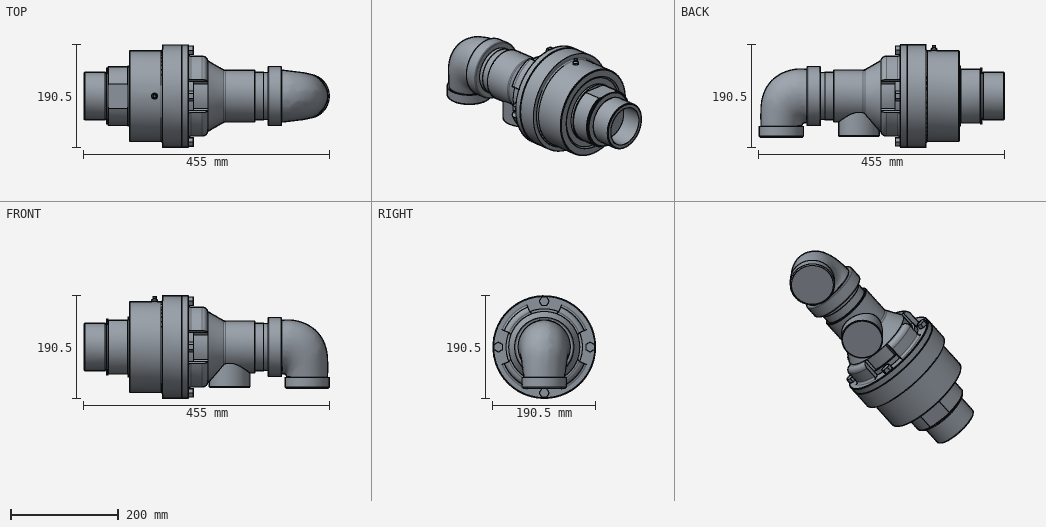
import cadquery as cq
import math

EDGE = 1.5

NIPPLE_DIA = 88.7
NIPPLE_END_CHAMFER = 3.0
BORE_DIA = 73.0
BORE_DEPTH = 40.5
NUT_START = 42.0
NUT_LIP_DIA = 104.0
NUT_DIA = 110.0
NUT_CHAMFER = 1.5
NUT_FLAT_START = 44.0
NUT_FLAT_END = 81.5
NUT_ACROSS_FLATS = 100.0
NUT_COLLAR_DIA = 111.0

HOUSING_START = 83.5
HOUSING_DIA = 169.0
HOUSING_FILLET = 2.7
RECESS_DIA = 141.0
RECESS_FLOOR_DIA = 134.5
RECESS_DEPTH = 2.5
FLANGE_START = 145.5
FLANGE_DIA = 190.5
FLANGE_JOINT = 180.5
JOINT_GROOVE = 1.0
FLANGE_END = 194.0

HUB_DIA = 160.5
HUB_END = 229.5
HUB_ROUND = 10.5
HUB_ROOT_FILLET = 4.0
POCKET_TOP_WIDTH = 70.0
POCKET_TOP = 84.5
POCKET_BEVEL_WIDTH = 53.5
POCKET_BEVEL_HEIGHT = 65.5
POCKET_FLOOR_WIDTH = 45.5
POCKET_LEDGE_DIA = 142.0
POCKET_LEDGE_END = 203.0
POCKET_FLOOR_DIA = 132.0
BOLT_COUNT = 4
BOLT_CIRCLE_RADIUS = 85.0
BOLT_ACROSS_FLATS = 16.0
BOLT_HEAD_END = 202.5

TAPER_END = 258.5
TAPER_END_DIA = 98.5
NECK_START = 262.5
NECK_DIA = 97.0
NECK_END = 317.0
TUBE_DIA = 88.7
TUBE_END = 333.0
TUBE_TIP_DIA = 88.0
OUTLET_X = 270.0
OUTLET_DIA = 76.0
OUTLET_BOTTOM = -74.5

COLLAR_START = 341.3
COLLAR_END = 366.5
COLLAR_DIA = 110.0
COLLAR_ROUND = 2.0
ELBOW_INLET_WIDTH = 97.0
ELBOW_INLET_HEIGHT = 99.5
ELBOW_OUTLET_DIA = 76.0
ELBOW_CORNER_X = 367.5
ELBOW_CORNER_Z = -55.0
ELBOW_BACK_RADIUS = 70.5
ELBOW_SECTIONS = 4
END_RING_DIA = 82.5
END_RING_CHAMFER = 2.5
END_RING_TOP = -56.5
END_RING_BOTTOM = -76.5
END_RING_X = 455 - END_RING_DIA / 2

GREASE_X = 130.5
GREASE_BASE_DIA = 11.0
GREASE_BASE_TOP = 87.0
GREASE_NECK_DIA = 4.5
GREASE_NECK_TOP = 90.5
GREASE_HEAD_DIA = 6.5
GREASE_TOP = 93.7


def rod(start, end, dia):
    """Cylinder on the X axis."""
    return cq.Workplane("YZ", origin=(start, 0, 0)).circle(dia / 2).extrude(end - start)


def post(x, bottom, top, dia):
    """Vertical cylinder."""
    return cq.Workplane("XY", origin=(x, 0, bottom)).circle(dia / 2).extrude(top - bottom)


def root_fillet(face_x, side, dia, radius):
    """Concave fillet where a cylinder meets a face; side is the way (+1 or -1) it runs from the face."""
    slack = 2 * radius
    root = dia / 2
    mid = radius * (1 - math.sqrt(0.5))
    return (
        cq.Workplane("XZ")
        .moveTo(face_x, root + radius)
        .threePointArc((face_x + side * mid, root + mid), (face_x + side * radius, root))
        .lineTo(face_x + side * radius, root - slack)
        .lineTo(face_x, root - slack)
        .close()
        .revolve(360, (0, 0, 0), (1, 0, 0))
    )


def nipple():
    barrel = rod(0, NUT_START, NIPPLE_DIA)
    return barrel.faces("<X").chamfer(EDGE).faces(">X").chamfer(NIPPLE_END_CHAMFER)


def nut():
    body = rod(NUT_FLAT_START, NUT_FLAT_END, NUT_DIA).faces("<X or >X").chamfer(NUT_CHAMFER)
    flats = cq.Workplane("XY").box(2 * NUT_FLAT_END, NUT_DIA, NUT_ACROSS_FLATS)
    lip = rod(NUT_START, NUT_FLAT_START, NUT_LIP_DIA)
    collar = rod(NUT_FLAT_END, HOUSING_START + RECESS_DEPTH, NUT_COLLAR_DIA)
    return body.intersect(flats).union(lip).union(collar)


def housing():
    barrel = rod(HOUSING_START, FLANGE_START, HOUSING_DIA).faces("<X").chamfer(EDGE)
    recess = (
        cq.Workplane("YZ", origin=(HOUSING_START, 0, 0))
        .circle(RECESS_DIA / 2)
        .workplane(offset=RECESS_DEPTH)
        .circle(RECESS_FLOOR_DIA / 2)
        .loft(ruled=True)
    )
    return barrel.cut(recess).union(root_fillet(FLANGE_START, -1, HOUSING_DIA, HOUSING_FILLET))


def flanges():
    pair = rod(FLANGE_START, FLANGE_END, FLANGE_DIA).faces(">X").chamfer(EDGE)
    groove = rod(FLANGE_JOINT - JOINT_GROOVE / 2, FLANGE_JOINT + JOINT_GROOVE / 2, FLANGE_DIA)
    groove = groove.cut(rod(FLANGE_START, FLANGE_END, FLANGE_DIA - 2 * JOINT_GROOVE))
    return pair.cut(groove)


def around_axis(shape):
    """Copies of a shape at every bolt position."""
    copies = shape
    for i in range(1, BOLT_COUNT):
        copies = copies.union(shape.rotate((0, 0, 0), (1, 0, 0), i * 360 / BOLT_COUNT))
    return copies


def hub():
    body = rod(FLANGE_END, HUB_END, HUB_DIA).faces(">X").edges().fillet(HUB_ROUND)
    body = body.union(root_fillet(FLANGE_END, 1, HUB_DIA, HUB_ROOT_FILLET))
    wall_foot = math.sqrt(POCKET_FLOOR_DIA**2 - POCKET_FLOOR_WIDTH**2) / 2
    pocket = (
        cq.Workplane("YZ", origin=(FLANGE_END, 0, 0))
        .moveTo(-POCKET_FLOOR_WIDTH / 2, wall_foot)
        .lineTo(POCKET_FLOOR_WIDTH / 2, wall_foot)
        .lineTo(POCKET_BEVEL_WIDTH / 2, POCKET_BEVEL_HEIGHT)
        .lineTo(POCKET_TOP_WIDTH / 2, POCKET_TOP)
        .lineTo(-POCKET_TOP_WIDTH / 2, POCKET_TOP)
        .lineTo(-POCKET_BEVEL_WIDTH / 2, POCKET_BEVEL_HEIGHT)
        .close()
        .extrude(HUB_END - FLANGE_END)
    )
    core = rod(FLANGE_END, HUB_END, POCKET_FLOOR_DIA)
    ledge = rod(FLANGE_END, POCKET_LEDGE_END, POCKET_LEDGE_DIA)
    return body.cut(around_axis(pocket)).union(core).union(ledge)


def bolts():
    head = (
        cq.Workplane("YZ", origin=(FLANGE_END, 0, BOLT_CIRCLE_RADIUS))
        .polygon(6, BOLT_ACROSS_FLATS, circumscribed=True)
        .extrude(BOLT_HEAD_END - FLANGE_END)
        .rotate((0, 0, BOLT_CIRCLE_RADIUS), (1, 0, BOLT_CIRCLE_RADIUS), 30)
    )
    return around_axis(head)


def neck():
    taper = (
        cq.Workplane("XZ")
        .moveTo(HUB_END, 0)
        .lineTo(HUB_END, POCKET_FLOOR_DIA / 2)
        .lineTo(TAPER_END, TAPER_END_DIA / 2)
        .tangentArcPoint((NECK_START, NECK_DIA / 2), relative=False)
        .lineTo(NECK_START, 0)
        .close()
        .revolve(360, (0, 0, 0), (1, 0, 0))
    )
    barrel = rod(NECK_START, NECK_END, NECK_DIA).faces(">X").chamfer(EDGE)
    tube = rod(NECK_END, TUBE_END, TUBE_DIA)
    tip = rod(TUBE_END, COLLAR_START, TUBE_TIP_DIA)
    outlet = post(OUTLET_X, OUTLET_BOTTOM, 0, OUTLET_DIA).faces("<Z").chamfer(EDGE)
    return taper.union(barrel).union(tube).union(tip).union(outlet)


def elbow_bend():
    """Tapering bend through oval sections that fan out about the inner corner."""
    back_x = END_RING_X + ELBOW_OUTLET_DIA / 2 - ELBOW_BACK_RADIUS - ELBOW_CORNER_X
    back_z = ELBOW_INLET_HEIGHT / 2 - ELBOW_BACK_RADIUS - ELBOW_CORNER_Z
    inlet_centre = -ELBOW_CORNER_Z
    outlet_centre = END_RING_X - ELBOW_CORNER_X
    inlet_gap = inlet_centre - ELBOW_INLET_HEIGHT / 2
    outlet_gap = outlet_centre - ELBOW_OUTLET_DIA / 2
    wires = []
    for i in range(ELBOW_SECTIONS + 1):
        part = i / ELBOW_SECTIONS
        angle = part * math.pi / 2
        along = back_x * math.sin(angle) + back_z * math.cos(angle)
        across = back_x * math.cos(angle) - back_z * math.sin(angle)
        near = inlet_gap + part * (outlet_gap - inlet_gap)
        far = along + math.sqrt(ELBOW_BACK_RADIUS**2 - across**2)
        if i == 0:
            far = inlet_centre + ELBOW_INLET_HEIGHT / 2
        if i == ELBOW_SECTIONS:
            far = outlet_centre + ELBOW_OUTLET_DIA / 2
        middle = (near + far) / 2
        half_width = (ELBOW_INLET_WIDTH + part * (ELBOW_OUTLET_DIA - ELBOW_INLET_WIDTH)) / 2
        outward = cq.Vector(math.sin(angle), 0, math.cos(angle))
        centre = cq.Vector(ELBOW_CORNER_X, 0, ELBOW_CORNER_Z) + outward * middle
        plane = cq.Plane(centre, outward, (math.cos(angle), 0, -math.sin(angle)))
        section = cq.Workplane(plane).ellipse((far - near) / 2, half_width)
        wires.append(section.wires().val())
    return cq.Workplane(cq.Solid.makeLoft(wires))


def elbow():
    collar = rod(COLLAR_START, COLLAR_END, COLLAR_DIA).faces("<X or >X").edges().fillet(COLLAR_ROUND)
    inlet = (
        cq.Workplane("YZ", origin=(COLLAR_END, 0, 0))
        .ellipse(ELBOW_INLET_WIDTH / 2, ELBOW_INLET_HEIGHT / 2)
        .extrude(ELBOW_CORNER_X - COLLAR_END)
    )
    leg = post(END_RING_X, END_RING_TOP, ELBOW_CORNER_Z, ELBOW_OUTLET_DIA)
    ring = post(END_RING_X, END_RING_BOTTOM, END_RING_TOP, END_RING_DIA)
    ring = ring.faces("<Z").chamfer(END_RING_CHAMFER)
    return collar.union(inlet).union(elbow_bend()).union(leg).union(ring)


def grease_nipple():
    return (
        cq.Workplane("XZ", origin=(GREASE_X, 0, 0))
        .moveTo(0, HOUSING_DIA / 2 - 4.5)
        .lineTo(GREASE_BASE_DIA / 2, HOUSING_DIA / 2 - 4.5)
        .lineTo(GREASE_BASE_DIA / 2, GREASE_BASE_TOP)
        .lineTo(GREASE_NECK_DIA / 2, GREASE_NECK_TOP)
        .lineTo(GREASE_HEAD_DIA / 2, GREASE_NECK_TOP)
        .lineTo(GREASE_HEAD_DIA / 2, GREASE_TOP)
        .lineTo(0, GREASE_TOP)
        .close()
        .revolve(360, (0, 0, 0), (0, 1, 0))
    )


result = nipple().union(nut()).union(housing()).union(flanges()).union(hub()).union(bolts())
result = result.union(neck()).union(elbow()).union(grease_nipple())
bore = rod(0, BORE_DEPTH, BORE_DIA)
result = result.cut(bore)